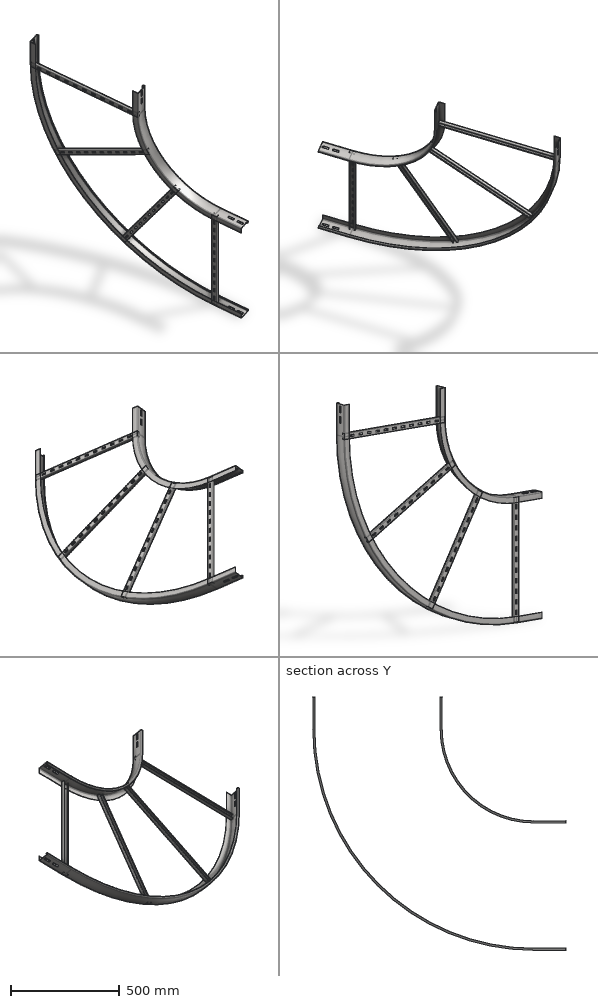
import cadquery as cq
import math

outer_radius = 1020.0
ladder_width = 600.0
inner_radius = outer_radius - ladder_width
straight_length = 150.0
turn_angle = 90.0

rail_height = 60.0
sheet = 2.0
bend_radius = 4.0
front_flange = 31.0
back_flange = 12.0
back_lip = 9.0

rail_slot_length = 30.0
rail_slot_width = 9.0
rail_slot_pitch = 50.0
rail_slot_end_distance = 25.0
rail_slots_per_end = 2

rung_count = 4
rung_width = 30.0
rung_depth = 15.0
rung_lip = 6.0
rung_sheet = 1.5
rung_bend_radius = 2.0
rung_end_gap = 5.0
rung_slot_length = 20.0
rung_slot_width = 7.0
rung_slot_pitch = 50.0
rung_slot_count = 11

front_y = -rail_height / 2
back_y = rail_height / 2
rung_front_y = front_y + sheet


def bent_strip(corners, thickness, radius):
    """Closed outline in the XY plane of a strip of sheet bent at right angles.

    The corners run along the outside of the bends, and the sheet lies on the left of that path.
    """
    path = [cq.Vector(*corner) for corner in corners]
    headings = [(b - a).normalized() for a, b in zip(path, path[1:])]
    left = [cq.Vector(-h.y, h.x) for h in headings]
    inside_radius = radius - thickness

    def bend(index):
        """Centre of the bend at a corner and the unit vector from it toward the corner."""
        toward_centre = left[index - 1] + left[index]
        return path[index] + toward_centre * radius, toward_centre * (-1 / math.sqrt(2))

    outline = cq.Workplane("XY").moveTo(path[0].x, path[0].y)
    for index in range(1, len(headings)):
        centre, toward_corner = bend(index)
        outline = outline.lineTo(*(centre - left[index - 1] * radius).toTuple()[:2])
        outline = outline.threePointArc(
            (centre + toward_corner * radius).toTuple()[:2],
            (centre - left[index] * radius).toTuple()[:2],
        )
    outline = outline.lineTo(path[-1].x, path[-1].y)
    end_inside = path[-1] + left[-1] * thickness
    outline = outline.lineTo(end_inside.x, end_inside.y)
    for index in range(len(headings) - 1, 0, -1):
        centre, toward_corner = bend(index)
        outline = outline.lineTo(*(centre - left[index] * inside_radius).toTuple()[:2])
        outline = outline.threePointArc(
            (centre + toward_corner * inside_radius).toTuple()[:2],
            (centre - left[index - 1] * inside_radius).toTuple()[:2],
        )
    start_inside = path[0] + left[0] * thickness
    return outline.lineTo(start_inside.x, start_inside.y).close()


def rail_section(web_radius, flange_side):
    """Rail outline at the start of the turn, on the -X side; flange_side is the X sign of the flanges."""
    corners = [
        (back_flange, back_y - back_lip),
        (back_flange, back_y),
        (0, back_y),
        (0, front_y),
        (front_flange, front_y),
    ]
    profile = bent_strip(corners, sheet, bend_radius).val()
    if flange_side < 0:
        profile = profile.mirror("YZ")
    return cq.Workplane("XY").add(profile.translate(cq.Vector(-web_radius, 0, 0))).toPending()


def rail_slots(web_radius):
    """Cutters for the slots in the web of the straight end on the -X side."""
    distances = [rail_slot_end_distance + i * rail_slot_pitch for i in range(rail_slots_per_end)]
    return (
        cq.Workplane("YZ", origin=(-web_radius, 0, straight_length))
        .pushPoints([(0, -distance) for distance in distances])
        .rect(rail_slot_width, rail_slot_length)
        .extrude(sheet, both=True)
    )


def make_rail(web_radius, flange_side):
    """One rail: a straight end, the quarter turn and the other straight end."""
    straight = rail_section(web_radius, flange_side).extrude(straight_length).cut(rail_slots(web_radius))
    turn = rail_section(web_radius, flange_side).revolve(turn_angle, (0, 0, 0), (0, -1, 0))
    other_straight = straight.mirror("XY").rotate((0, 0, 0), (0, 1, 0), -turn_angle)
    return turn.union(straight, clean=False).union(other_straight, clean=False)


def make_rung():
    """Rung along -X at the start of the turn: a lipped channel with a row of slots in its front face."""
    length = ladder_width - 2 * rung_end_gap
    rung_side = rung_width / 2
    rung_back_y = rung_front_y + rung_depth
    corners = [
        (rung_lip - rung_side, rung_back_y),
        (-rung_side, rung_back_y),
        (-rung_side, rung_front_y),
        (rung_side, rung_front_y),
        (rung_side, rung_back_y),
        (rung_side - rung_lip, rung_back_y),
    ]
    channel = bent_strip(corners, rung_sheet, rung_bend_radius).extrude(length)
    channel = channel.rotate((0, 0, 0), (0, 1, 0), -90).translate((-inner_radius - rung_end_gap, 0, 0))
    middle_radius = (inner_radius + outer_radius) / 2
    slots = (
        cq.Workplane("XZ", origin=(-middle_radius, rung_front_y + rung_sheet, 0))
        .rarray(rung_slot_pitch, 1, rung_slot_count, 1)
        .rect(rung_slot_length, rung_slot_width)
        .extrude(rung_sheet)
    )
    return channel.cut(slots)


outer_rail = make_rail(outer_radius, flange_side=1)
inner_rail = make_rail(inner_radius, flange_side=-1)

rung = make_rung()
rung_step = turn_angle / (rung_count - 1)
rungs = [rung.rotate((0, 0, 0), (0, 1, 0), -i * rung_step) for i in range(rung_count)]

result = cq.Compound.makeCompound([outer_rail.val(), inner_rail.val(), *[rung_copy.val() for rung_copy in rungs]])